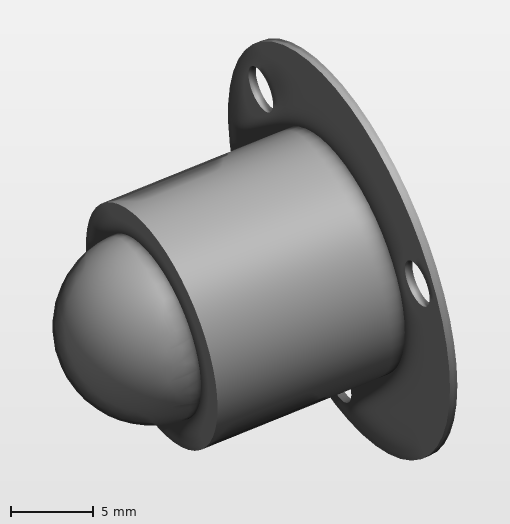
import cadquery as cq

flange_diameter = 27.0
flange_thickness = 0.5
body_diameter = 16.0
body_front = 13.5
ball_diameter = 12.0
hole_diameter = 3.0
hole_circle_radius = 11.0
hole_count = 3
first_hole_angle = -90.0


def disc(diameter, length):
    """Cylinder on the axis, from the flange back face toward -Y."""
    return cq.Workplane("XZ").circle(diameter / 2).extrude(length)


flange = (
    disc(flange_diameter, flange_thickness)
    .faces("<Y")
    .workplane(origin=(0, 0, 0))
    .polarArray(hole_circle_radius, first_hole_angle, 360, hole_count)
    .hole(hole_diameter)
)

body = disc(body_diameter, body_front)

ball = cq.Workplane("XY").sphere(ball_diameter / 2).translate((0, -body_front, 0))

result = flange.union(body).union(ball)